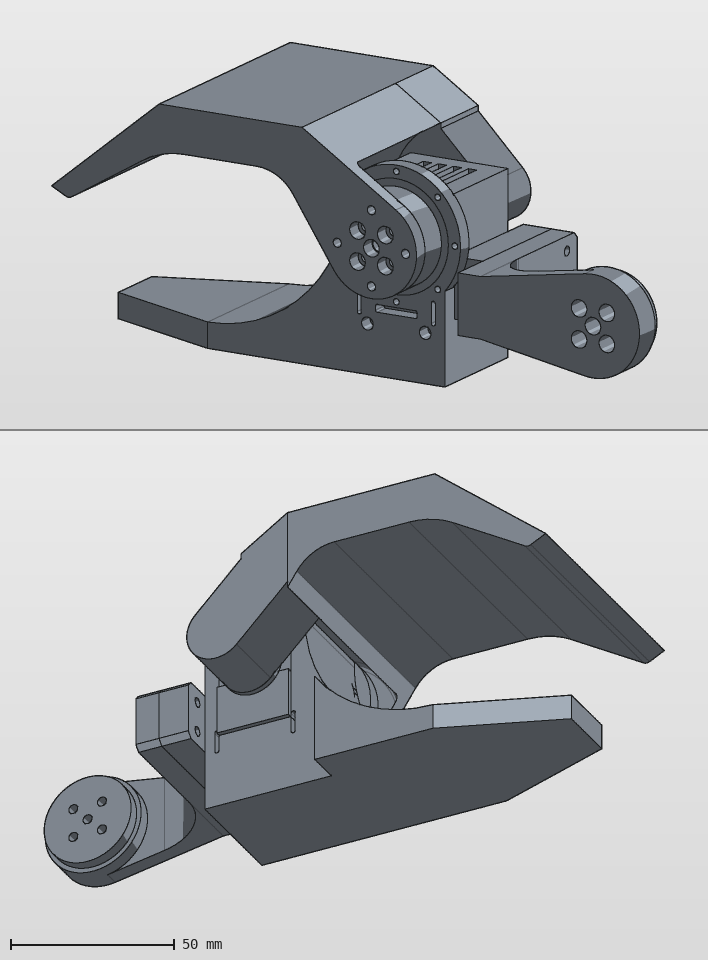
import cadquery as cq
import math


OVERALL_LENGTH = 205.0

JAW_DEPTH = 79.0
JAW_TOP_Z = 34.8
TIP_X = -113.3
TIP_Z = 3.3
TOP_FRONT_X = -75.2
TOP_REAR_X = -24.5
UNDERSIDE_Z = 20.0
TIP_CORNER = (-107.2, 0.2)
UNDERSIDE_FRONT_X = -74.4
UNDERSIDE_REAR_X = -32.4
TIP_RADIUS = 2.0
FRONT_THROAT_RADIUS = 28.7
REAR_THROAT_RADIUS = 15.4
HUB_RADIUS = 16.0
FRONT_ARM_THICKNESS = 5.1
CLEARANCE_RADIUS = 26.0
CLEARANCE_FILLET = 1.6

REAR_ARM_Y = 56.4
REAR_HUB_RADIUS = 10.0

HUB_BOLT_RADIUS = 7.0
HUB_BOLT_CLEARANCE = 5.5
HUB_BOLT_PILOT = 3.0
DRIVE_CENTER_HOLE_DIAMETER = 5.0
SHAFT_HOLE_DIAMETER = 2.9
SHAFT_HOLE_DEPTH = 4.0
PIN_CIRCLE_RADIUS = 12.0
PIN_HOLE_DIAMETER = 2.9

LOWER_FRONT_Y = 15.0
LOWER_REAR_Y = 64.0
LOWER_NOSE_X = -107.0
LOWER_BOTTOM_Z = -45.3
FLOOR_Z = -36.9
TAPER_START_X = -66.8
NOSE_WIDTH = 20.3
BLOCK_HALF_WIDTH = 17.2
BLOCK_TOP_Z = 14.8
RING_RADIUS = 22.7
RING_THICKNESS = 5.1
RING_BOLT_RADIUS = 20.7
RING_BOLT_DIAMETER = 2.0
RING_BOLT_DEPTH = 3.0
RING_BOLT_COUNT = 8
RECESS_Y = 52.9
RECESS_FRONT_X = -26.2
COOLING_SLOT_PITCH = 5.3
COOLING_SLOT_CENTER_X = 0.5
COOLING_SLOT_COUNT = 4
COOLING_SLOT_WIDTH = 2.9
COOLING_SLOT_LENGTH = 20.5
COOLING_SLOT_Y = 36.3
SIDE_SLOT_X = 13.1
SIDE_SLOT_WIDTH = 1.4
SIDE_SLOT_TOP_Z = -18.6
SIDE_SLOT_BOTTOM_Z = -26.5
CABLE_SLOT_LENGTH = 14.8
CABLE_SLOT_HEIGHT = 2.5
CABLE_SLOT_CORNER_RADIUS = 0.6
CABLE_SLOT_Z = -23.8
SCREW_X = 10.2
SCREW_Z = -29.0
SCREW_HEAD_DIAMETER = 4.0
SCREW_PILOT_DIAMETER = 1.4
SCREW_PILOT_DEPTH = 10.2

SERVO_HALF_WIDTH = 12.3
SERVO_TOP_Z = 11.0
SERVO_BOTTOM_Z = -20.5
SERVO_FLANGE_RADIUS = 18.5
SERVO_FLANGE_REAR_Y = 22.3
SERVO_REAR_Y = 54.5
SERVO_REAR_PLATE_TOP_Z = -4.3
SPINDLE_DIAMETER = 9.0

WRIST_Z = -15.2
WRIST_HEIGHT = 19.9
ADAPTER_FRONT_Y = 20.7
ADAPTER_REAR_X = 27.3
WRIST_CHAMFER = 1.8
WRIST_BOLT_DIAMETER = 3.0
WRIST_BOLT_Y = 57.8
WRIST_BOLT_SPACING = 10.2
ARM_FRONT_Y = 5.7
ARM_REAR_X = 35.2
ARM_PLATE_THICKNESS = 5.1
ARM_BEND_RADIUS = 17.6
WRIST_HUB_RADIUS = 33.0 / 2
WRIST_HUB_X = OVERALL_LENGTH + TIP_X - WRIST_HUB_RADIUS
WRIST_HUB_REAR_Y = 15.2
WRIST_HORN_DIAMETER = 30.0
WRIST_HORN_REAR_Y = 18.9


def front_plane(y):
    """Sketch plane at height y whose local axes are X and Z and whose normal points to -Y."""
    return cq.Workplane("XZ", origin=(0, y, 0))


def cylinder(x, z, radius, y_front, y_rear):
    return front_plane(y_front).center(x, z).circle(radius).extrude(y_front - y_rear)


def box(x0, x1, y0, y1, z0, z1):
    return cq.Workplane("XY").box(x1 - x0, y1 - y0, z1 - z0, centered=False).translate((x0, y0, z0))


def circle_points(radius, count, start_angle=0.0):
    angles = [math.radians(start_angle + 360 * i / count) for i in range(count)]
    return [(radius * math.cos(a), radius * math.sin(a)) for a in angles]


def tangent_point(point, center, radius, side):
    """Where a line from point touches the circle; side is +1 or -1 for its two tangents."""
    dx = point[0] - center[0]
    dz = point[1] - center[1]
    angle = math.atan2(dz, dx) + side * math.acos(radius / math.hypot(dx, dz))
    return (center[0] + radius * math.cos(angle), center[1] + radius * math.sin(angle))


def rounded_corner(before, corner, after, radius):
    """Start, middle and end of the arc that rounds a corner of an outline."""
    to_before = cq.Vector(*before).sub(cq.Vector(*corner)).normalized()
    to_after = cq.Vector(*after).sub(cq.Vector(*corner)).normalized()
    half_angle = to_before.getAngle(to_after) / 2
    setback = radius / math.tan(half_angle)
    bisector = to_before.add(to_after).normalized()
    middle_distance = radius / math.sin(half_angle) - radius
    offsets = (to_before * setback, bisector * middle_distance, to_after * setback)
    return [(corner[0] + v.x, corner[1] + v.y) for v in offsets]


def cut_hub_holes(body, x, z, diameter, y_front, y_rear):
    """A centre hole and four holes on the diagonals, from y_front to y_rear."""
    points = [(0, 0)] + circle_points(HUB_BOLT_RADIUS, 4, 45)
    for dx, dz in points:
        body = body.cut(cylinder(x + dx, z + dz, diameter / 2, y_front, y_rear))
    return body


TOP_REAR = (TOP_REAR_X, JAW_TOP_Z)
REAR_SLOPE_END = tangent_point(TOP_REAR, (0, 0), HUB_RADIUS, -1)


def make_upper_jaw():
    tip = (TIP_X, TIP_Z)
    front_corner = (UNDERSIDE_FRONT_X, UNDERSIDE_Z)
    rear_corner = (UNDERSIDE_REAR_X, UNDERSIDE_Z)
    flank_end = tangent_point(rear_corner, (0, 0), HUB_RADIUS, 1)
    tip_arc = rounded_corner(tip, TIP_CORNER, front_corner, TIP_RADIUS)
    front_arc = rounded_corner(TIP_CORNER, front_corner, rear_corner, FRONT_THROAT_RADIUS)
    rear_arc = rounded_corner(front_corner, rear_corner, flank_end, REAR_THROAT_RADIUS)
    hub_middle = (HUB_RADIUS * math.cos(math.pi / 4), -HUB_RADIUS * math.sin(math.pi / 4))
    body = (
        front_plane(0)
        .moveTo(*tip)
        .lineTo(TOP_FRONT_X, JAW_TOP_Z)
        .lineTo(*TOP_REAR)
        .lineTo(*REAR_SLOPE_END)
        .threePointArc(hub_middle, flank_end)
        .lineTo(*rear_arc[2])
        .threePointArc(rear_arc[1], rear_arc[0])
        .lineTo(*front_arc[2])
        .threePointArc(front_arc[1], front_arc[0])
        .lineTo(*tip_arc[2])
        .threePointArc(tip_arc[1], tip_arc[0])
        .close()
        .extrude(-JAW_DEPTH)
    )
    clearance = cylinder(0, 0, CLEARANCE_RADIUS, FRONT_ARM_THICKNESS, JAW_DEPTH)
    body = body.cut(clearance.faces("<Y").edges().fillet(CLEARANCE_FILLET))
    body = body.cut(box(TOP_REAR_X, HUB_RADIUS, REAR_ARM_Y, JAW_DEPTH, -HUB_RADIUS, JAW_TOP_Z))
    body = cut_hub_holes(body, 0, 0, HUB_BOLT_CLEARANCE, 0, FRONT_ARM_THICKNESS)
    for x, z in circle_points(PIN_CIRCLE_RADIUS, 4):
        body = body.cut(cylinder(x, z, PIN_HOLE_DIAMETER / 2, 0, FRONT_ARM_THICKNESS))
    return body


def make_rear_arm():
    """A bar rising at 45 degrees from the rear hub, widened to the slope of the upper jaw."""
    slope = (REAR_SLOPE_END[1] - JAW_TOP_Z) / (REAR_SLOPE_END[0] - TOP_REAR_X)
    tangent = REAR_HUB_RADIUS / math.sqrt(2)
    slope_angle = math.atan(slope)
    reach = math.sqrt(CLEARANCE_RADIUS**2 - HUB_RADIUS**2)
    shoulder_x = -HUB_RADIUS * math.sin(slope_angle) - reach * math.cos(slope_angle)
    shoulder_z = JAW_TOP_Z + slope * (shoulder_x - TOP_REAR_X)
    return (
        front_plane(REAR_ARM_Y)
        .moveTo(*TOP_REAR)
        .lineTo(shoulder_x, shoulder_z)
        .lineTo(shoulder_x, 2 * tangent - shoulder_x)
        .lineTo(tangent, tangent)
        .threePointArc((tangent, -tangent), (-tangent, -tangent))
        .lineTo(TOP_REAR_X, -2 * tangent - TOP_REAR_X)
        .close()
        .extrude(REAR_ARM_Y - JAW_DEPTH)
    )


def make_drive_boss():
    body = cylinder(0, 0, HUB_RADIUS, FRONT_ARM_THICKNESS, LOWER_FRONT_Y)
    body = cut_hub_holes(body, 0, 0, HUB_BOLT_PILOT, FRONT_ARM_THICKNESS, LOWER_FRONT_Y)
    return body.cut(
        cylinder(0, 0, DRIVE_CENTER_HOLE_DIAMETER / 2, FRONT_ARM_THICKNESS, LOWER_FRONT_Y)
    )


def make_idler_boss():
    return cylinder(0, 0, REAR_HUB_RADIUS, SERVO_REAR_Y, REAR_ARM_Y)


def make_servo_blank():
    """The servo without its shaft hole, which is also the shape of its seat."""
    body = box(
        -SERVO_HALF_WIDTH, SERVO_HALF_WIDTH, SERVO_FLANGE_REAR_Y, RECESS_Y, SERVO_BOTTOM_Z, SERVO_TOP_Z
    )
    rear_plate = box(
        -SERVO_HALF_WIDTH, SERVO_HALF_WIDTH, RECESS_Y, SERVO_REAR_Y, SERVO_BOTTOM_Z, SERVO_REAR_PLATE_TOP_Z
    )
    flange = cylinder(0, 0, SERVO_FLANGE_RADIUS, LOWER_FRONT_Y, SERVO_FLANGE_REAR_Y)
    spindle = cylinder(0, 0, SPINDLE_DIAMETER / 2, RECESS_Y, SERVO_REAR_Y)
    return body.union(rear_plate).union(flange).union(spindle)


def make_servo():
    shaft_hole = cylinder(0, 0, SHAFT_HOLE_DIAMETER / 2, LOWER_FRONT_Y, LOWER_FRONT_Y + SHAFT_HOLE_DEPTH)
    return make_servo_blank().cut(shaft_hole)


def make_lower_jaw_blank():
    arc_radius = -BLOCK_HALF_WIDTH - TAPER_START_X
    arc_middle = (
        TAPER_START_X + arc_radius * math.sin(math.pi / 4),
        FLOOR_Z + arc_radius * (1 - math.cos(math.pi / 4)),
    )
    body = (
        front_plane(LOWER_FRONT_Y)
        .moveTo(LOWER_NOSE_X, LOWER_BOTTOM_Z)
        .lineTo(BLOCK_HALF_WIDTH, LOWER_BOTTOM_Z)
        .lineTo(BLOCK_HALF_WIDTH, BLOCK_TOP_Z)
        .lineTo(-BLOCK_HALF_WIDTH, BLOCK_TOP_Z)
        .lineTo(-BLOCK_HALF_WIDTH, FLOOR_Z + arc_radius)
        .threePointArc(arc_middle, (TAPER_START_X, FLOOR_Z))
        .lineTo(LOWER_NOSE_X, FLOOR_Z)
        .close()
        .extrude(LOWER_FRONT_Y - LOWER_REAR_Y)
    )
    middle_y = (LOWER_FRONT_Y + LOWER_REAR_Y) / 2
    plan = (
        cq.Workplane("XY", origin=(0, 0, LOWER_BOTTOM_Z))
        .moveTo(LOWER_NOSE_X, middle_y - NOSE_WIDTH / 2)
        .lineTo(TAPER_START_X, LOWER_FRONT_Y)
        .lineTo(BLOCK_HALF_WIDTH, LOWER_FRONT_Y)
        .lineTo(BLOCK_HALF_WIDTH, LOWER_REAR_Y)
        .lineTo(TAPER_START_X, LOWER_REAR_Y)
        .lineTo(LOWER_NOSE_X, middle_y + NOSE_WIDTH / 2)
        .close()
        .extrude(BLOCK_TOP_Z - LOWER_BOTTOM_Z)
    )
    body = body.intersect(plan)
    return body.union(cylinder(0, 0, RING_RADIUS, LOWER_FRONT_Y, LOWER_FRONT_Y + RING_THICKNESS))


def cut_cooling_slots(body):
    first_x = COOLING_SLOT_CENTER_X - COOLING_SLOT_PITCH * (COOLING_SLOT_COUNT - 1) / 2
    for i in range(COOLING_SLOT_COUNT):
        slot = box(
            -COOLING_SLOT_WIDTH / 2, COOLING_SLOT_WIDTH / 2,
            COOLING_SLOT_Y - COOLING_SLOT_LENGTH / 2, COOLING_SLOT_Y + COOLING_SLOT_LENGTH / 2,
            SERVO_TOP_Z, BLOCK_TOP_Z,
        )
        body = body.cut(slot.translate((first_x + i * COOLING_SLOT_PITCH, 0, 0)))
    return body


def cut_front_face_features(body):
    ring_rear_y = LOWER_FRONT_Y + RING_THICKNESS
    bolt_end_y = LOWER_FRONT_Y + RING_BOLT_DEPTH
    for x, z in circle_points(RING_BOLT_RADIUS, RING_BOLT_COUNT):
        body = body.cut(cylinder(x, z, RING_BOLT_DIAMETER / 2, LOWER_FRONT_Y, bolt_end_y))
    cable_slot = (
        front_plane(LOWER_FRONT_Y)
        .center(0, CABLE_SLOT_Z)
        .rect(CABLE_SLOT_LENGTH, CABLE_SLOT_HEIGHT)
        .extrude(-RING_THICKNESS)
        .edges("|Y")
        .fillet(CABLE_SLOT_CORNER_RADIUS)
    )
    body = body.cut(cable_slot)
    side_slot_z = (SIDE_SLOT_TOP_Z + SIDE_SLOT_BOTTOM_Z) / 2
    for side in (-1, 1):
        side_slot = (
            front_plane(LOWER_FRONT_Y)
            .center(side * SIDE_SLOT_X, side_slot_z)
            .slot2D(SIDE_SLOT_TOP_Z - SIDE_SLOT_BOTTOM_Z, SIDE_SLOT_WIDTH, 90)
            .extrude(LOWER_FRONT_Y - LOWER_REAR_Y)
        )
        head = cylinder(side * SCREW_X, SCREW_Z, SCREW_HEAD_DIAMETER / 2, LOWER_FRONT_Y, ring_rear_y)
        pilot = cylinder(
            side * SCREW_X, SCREW_Z, SCREW_PILOT_DIAMETER / 2, LOWER_FRONT_Y, LOWER_FRONT_Y + SCREW_PILOT_DEPTH
        )
        body = body.cut(side_slot).cut(head).cut(pilot)
    return body


def make_lower_jaw():
    body = make_lower_jaw_blank()
    recess = box(
        RECESS_FRONT_X, BLOCK_HALF_WIDTH, RECESS_Y, LOWER_REAR_Y, LOWER_BOTTOM_Z, BLOCK_TOP_Z
    )
    body = body.cut(recess).cut(make_servo_blank())
    body = cut_cooling_slots(body)
    return cut_front_face_features(body)


def cut_wrist_bolts(body, x_front, x_rear):
    for side in (-1, 1):
        hole = (
            cq.Workplane("YZ", origin=(x_front, WRIST_BOLT_Y, WRIST_Z + side * WRIST_BOLT_SPACING / 2))
            .circle(WRIST_BOLT_DIAMETER / 2)
            .extrude(x_rear - x_front)
        )
        body = body.cut(hole)
    return body


def wrist_block(x0, x1, y0):
    """A block across the wrist with chamfered rear edges."""
    half = WRIST_HEIGHT / 2
    block = box(x0, x1, y0, LOWER_REAR_Y, WRIST_Z - half, WRIST_Z + half)
    return block.faces(">Y").edges("|X").chamfer(WRIST_CHAMFER)


def make_wrist_adapter():
    body = wrist_block(BLOCK_HALF_WIDTH, ADAPTER_REAR_X, ADAPTER_FRONT_Y)
    body = body.cut(cylinder(0, 0, SERVO_FLANGE_RADIUS, LOWER_FRONT_Y, SERVO_FLANGE_REAR_Y))
    return cut_wrist_bolts(body, BLOCK_HALF_WIDTH, ADAPTER_REAR_X)


def make_wrist_arm():
    block = wrist_block(ADAPTER_REAR_X, ARM_REAR_X, ARM_FRONT_Y)
    block = cut_wrist_bolts(block, ADAPTER_REAR_X, ARM_REAR_X)
    half = WRIST_HEIGHT / 2
    hub_center = (WRIST_HUB_X, WRIST_Z)
    upper_start = (ARM_REAR_X, WRIST_Z + half)
    lower_start = (ARM_REAR_X, WRIST_Z - half)
    plate_rear_y = ARM_FRONT_Y + ARM_PLATE_THICKNESS
    bend_end_y = plate_rear_y + ARM_BEND_RADIUS
    flare = (
        front_plane(ARM_FRONT_Y)
        .moveTo(*lower_start)
        .lineTo(*tangent_point(lower_start, hub_center, WRIST_HUB_RADIUS, 1))
        .lineTo(*tangent_point(upper_start, hub_center, WRIST_HUB_RADIUS, -1))
        .lineTo(*upper_start)
        .close()
        .extrude(ARM_FRONT_Y - bend_end_y)
    )
    bend_shift = ARM_BEND_RADIUS * (1 - math.cos(math.pi / 4))
    bend = (
        cq.Workplane("XY", origin=(0, 0, WRIST_Z - WRIST_HUB_RADIUS))
        .moveTo(ARM_REAR_X, ARM_FRONT_Y)
        .lineTo(WRIST_HUB_X, ARM_FRONT_Y)
        .lineTo(WRIST_HUB_X, plate_rear_y)
        .lineTo(ARM_REAR_X + ARM_BEND_RADIUS, plate_rear_y)
        .threePointArc((ARM_REAR_X + bend_shift, plate_rear_y + bend_shift), (ARM_REAR_X, bend_end_y))
        .close()
        .extrude(2 * WRIST_HUB_RADIUS)
    )
    hub = cylinder(WRIST_HUB_X, WRIST_Z, WRIST_HUB_RADIUS, ARM_FRONT_Y, WRIST_HUB_REAR_Y)
    body = block.union(flare.intersect(bend)).union(hub)
    return cut_hub_holes(body, WRIST_HUB_X, WRIST_Z, HUB_BOLT_CLEARANCE, ARM_FRONT_Y, WRIST_HUB_REAR_Y)


def make_wrist_horn():
    body = cylinder(WRIST_HUB_X, WRIST_Z, WRIST_HORN_DIAMETER / 2, WRIST_HUB_REAR_Y, WRIST_HORN_REAR_Y)
    return cut_hub_holes(body, WRIST_HUB_X, WRIST_Z, HUB_BOLT_PILOT, WRIST_HUB_REAR_Y, WRIST_HORN_REAR_Y)


upper_jaw = make_upper_jaw()
rear_arm = make_rear_arm()
drive_boss = make_drive_boss()
idler_boss = make_idler_boss()
servo = make_servo()
lower_jaw = make_lower_jaw()
wrist_adapter = make_wrist_adapter()
wrist_arm = make_wrist_arm()
wrist_horn = make_wrist_horn()

result = cq.Compound.makeCompound([
    upper_jaw.val(),
    rear_arm.val(),
    drive_boss.val(),
    idler_boss.val(),
    servo.val(),
    lower_jaw.val(),
    wrist_adapter.val(),
    wrist_arm.val(),
    wrist_horn.val(),
])